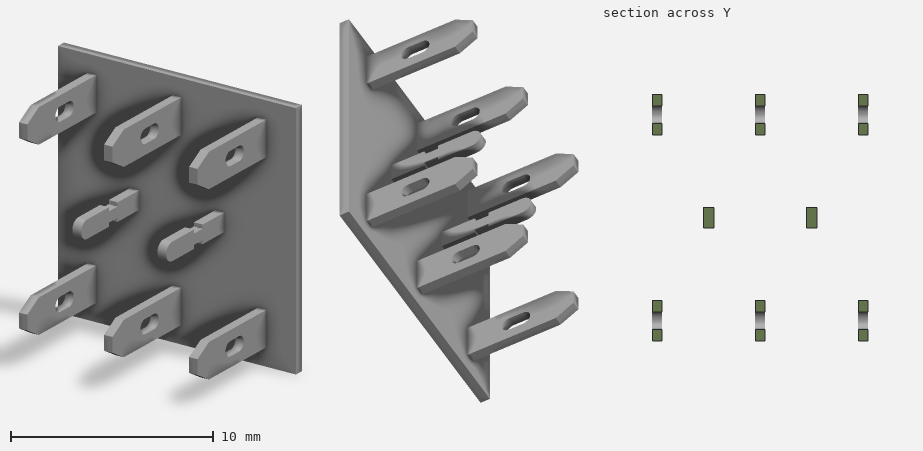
import cadquery as cq
import math

plate_side = 14.22
plate_thickness = 0.53

pitch = 5.08
tab_columns = (-pitch, 0, pitch)
tab_rows = (-pitch, pitch)
pin_columns = (-pitch / 2, pitch / 2)

tab_thickness = 0.5
tab_width = 2.0
tab_length = 6.0
tab_taper_length = 1.0
tab_taper_angle = 30
tab_tip_width = tab_width - 2 * tab_taper_length * math.tan(math.radians(tab_taper_angle))
slot_length = 1.6
slot_width = 0.82
slot_distance = 2.75

pin_thickness = 0.53
pin_width = 1.04
pin_length = 5.03
pin_radius = pin_width / 2
notch_start = 1.85
notch_length = 0.77
notch_depth = 0.22
notch_end = notch_start + notch_length
neck_half_width = pin_width / 2 - notch_depth


def side_sketch(x, z):
    """YZ workplane at x whose origin is on the front face of the plate at height z."""
    return cq.Workplane("YZ", origin=(x, 0, z))


def make_plate():
    return cq.Workplane("XY").box(plate_side, plate_thickness, plate_side).translate(
        (0, plate_thickness / 2, 0)
    )


def make_tab(x, z):
    half_width = tab_width / 2
    half_tip = tab_tip_width / 2
    shoulder = tab_length - tab_taper_length
    blade = (
        side_sketch(x, z)
        .polyline(
            [
                (0, half_width),
                (-shoulder, half_width),
                (-tab_length, half_tip),
                (-tab_length, -half_tip),
                (-shoulder, -half_width),
                (0, -half_width),
            ]
        )
        .close()
        .extrude(tab_thickness / 2, both=True)
    )
    slot = (
        side_sketch(x, z)
        .center(-slot_distance, 0)
        .slot2D(slot_length, slot_width)
        .extrude(tab_thickness, both=True)
    )
    return blade.cut(slot)


def make_pin(x):
    round_start = pin_length - pin_radius
    return (
        side_sketch(x, 0)
        .moveTo(0, pin_radius)
        .lineTo(-notch_start, pin_radius)
        .lineTo(-notch_start, neck_half_width)
        .lineTo(-notch_end, neck_half_width)
        .lineTo(-notch_end, pin_radius)
        .lineTo(-round_start, pin_radius)
        .threePointArc((-pin_length, 0), (-round_start, -pin_radius))
        .lineTo(-notch_end, -pin_radius)
        .lineTo(-notch_end, -neck_half_width)
        .lineTo(-notch_start, -neck_half_width)
        .lineTo(-notch_start, -pin_radius)
        .lineTo(0, -pin_radius)
        .close()
        .extrude(pin_thickness / 2, both=True)
    )


result = make_plate()
for column in tab_columns:
    for row in tab_rows:
        result = result.union(make_tab(column, row))
for column in pin_columns:
    result = result.union(make_pin(column))